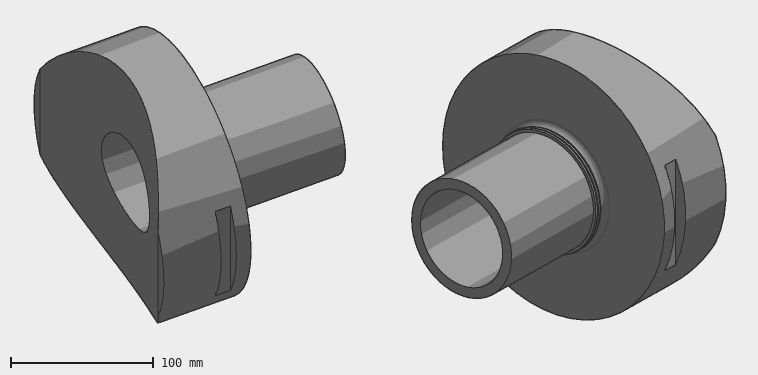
import cadquery as cq

flange_radius = 100.0
flange_thickness = 68.5
total_length = 171.0

saddle_half_width = 90.8
saddle_depth = 24.8
saddle_radius = (saddle_half_width**2 + saddle_depth**2) / (2 * saddle_depth)

stem_radius = 45.0
bore_radius = 37.0
root_fillet = 5.2

ridge_crest_radius = 47.5
ridge_height = 0.5
collar_start = 74.2
ridge_width = 2.8
ridge_count = 2

slot_width = 12.0
slot_start = 45.0
slot_floor = 91.0


def cylinder(radius, start, length):
    """Cylinder about the Y axis, growing toward +Y from start."""
    return cq.Workplane("XZ", origin=(0, start, 0)).circle(radius).extrude(-length)


def make_stem():
    overlap = flange_thickness / 2
    stem = cylinder(stem_radius, overlap, total_length - overlap)
    return cylinder(flange_radius, 0, flange_thickness).union(stem)


def fillet_root(body):
    """Round the inside corner where the stem meets the flange."""
    flange_back = cq.selectors.NearestToPointSelector((0, flange_thickness, 0))
    stem_circle = cq.selectors.RadiusNthSelector(0)
    return body.faces(flange_back).edges(stem_circle).fillet(root_fillet)


def add_collar(body):
    valley_radius = ridge_crest_radius - ridge_height
    inner_radius = (bore_radius + stem_radius) / 2
    profile = cq.Workplane("XY").moveTo(inner_radius, collar_start).lineTo(valley_radius, collar_start)
    for index in range(ridge_count):
        start = collar_start + index * ridge_width
        profile = profile.lineTo(ridge_crest_radius, start + ridge_width / 2)
        profile = profile.lineTo(valley_radius, start + ridge_width)
    profile = profile.lineTo(inner_radius, collar_start + ridge_count * ridge_width).close()
    return body.union(profile.revolve(360, (0, 0, 0), (0, 1, 0)))


def cut_saddle(body):
    saddle_axis_y = saddle_depth - saddle_radius
    cutter = (
        cq.Workplane("XY")
        .center(0, saddle_axis_y)
        .circle(saddle_radius)
        .extrude(flange_radius, both=True)
    )
    return body.cut(cutter)


def cut_side_slots(body):
    slot_depth = flange_radius - slot_floor
    for side in (-1, 1):
        cutter = cq.Workplane("XY").box(slot_depth, slot_width, 2 * flange_radius)
        center_x = side * (slot_floor + slot_depth / 2)
        body = body.cut(cutter.translate((center_x, slot_start + slot_width / 2, 0)))
    return body


body = add_collar(fillet_root(make_stem()))
body = cut_side_slots(cut_saddle(body))
result = body.cut(cylinder(bore_radius, 0, total_length))